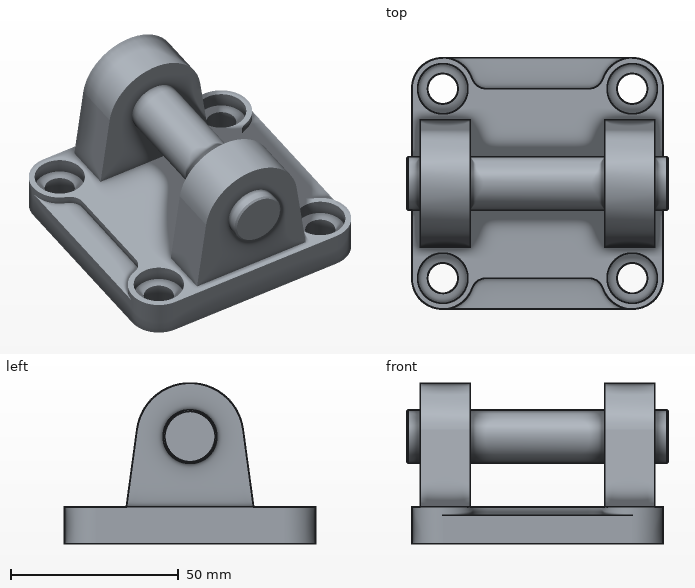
import cadquery as cq
import math

plate_size = 75.0
plate_height = 11.0
hole_spacing = 56.5
hole_diameter = 9.0
counterbore_diameter = 15.0
counterbore_depth = 4.5
half_plate = plate_size / 2
half_spacing = hole_spacing / 2
corner_radius = half_plate - half_spacing

relief_depth = 2.4
relief_fillet = 4.5

ear_gap = 40.0
ear_thickness = 15.0
ear_foot_width = 38.0
ear_top_radius = 16.0

pin_length = 78.0
pin_diameter = 16.0
pin_chamfer = 0.5
pin_height = 32.0


def make_plate():
    plate = cq.Workplane("XY").box(plate_size, plate_size, plate_height, centered=(True, True, False))
    plate = plate.edges("|Z").fillet(corner_radius)
    return (
        plate.faces(">Z")
        .workplane()
        .rect(hole_spacing, hole_spacing, forConstruction=True)
        .vertices()
        .cboreHole(hole_diameter, counterbore_diameter, counterbore_depth)
    )


def make_relief():
    """Cutter for the +Y edge: wraps each round corner boss, then blends into a straight inner wall."""
    center_distance = corner_radius + relief_fillet
    blend_run = math.sqrt(center_distance**2 - relief_fillet**2)
    boss_share = corner_radius / center_distance
    touch_x = half_spacing - blend_run * boss_share
    touch_y = half_spacing + relief_fillet * boss_share
    wall_end_x = half_spacing - blend_run

    mid_angle = (math.pi / 2 + math.atan2(relief_fillet, blend_run)) / 2
    boss_mid_x = half_spacing - corner_radius * math.cos(mid_angle)
    boss_mid_y = half_spacing + corner_radius * math.sin(mid_angle)

    blend_mid_x = wall_end_x + relief_fillet * math.cos(mid_angle)
    blend_mid_y = half_spacing + relief_fillet * (1 - math.sin(mid_angle))

    return (
        cq.Workplane("XY", origin=(0, 0, plate_height - relief_depth))
        .moveTo(-half_spacing, half_plate)
        .threePointArc((-boss_mid_x, boss_mid_y), (-touch_x, touch_y))
        .threePointArc((-blend_mid_x, blend_mid_y), (-wall_end_x, half_spacing))
        .lineTo(wall_end_x, half_spacing)
        .threePointArc((blend_mid_x, blend_mid_y), (touch_x, touch_y))
        .threePointArc((boss_mid_x, boss_mid_y), (half_spacing, half_plate))
        .close()
        .extrude(relief_depth)
    )


def make_ear(start_x):
    """Tapered ear whose sloping sides run tangent into a round top centred on the pin."""
    half_foot = ear_foot_width / 2
    rise = pin_height - plate_height
    foot_distance = math.hypot(half_foot, rise)
    tangent_angle = math.acos(ear_top_radius / foot_distance) - math.atan2(rise, half_foot)
    tangent_y = ear_top_radius * math.cos(tangent_angle)
    tangent_z = pin_height + ear_top_radius * math.sin(tangent_angle)

    return (
        cq.Workplane("YZ", origin=(start_x, 0, 0))
        .moveTo(-half_foot, plate_height)
        .lineTo(half_foot, plate_height)
        .lineTo(tangent_y, tangent_z)
        .threePointArc((0, pin_height + ear_top_radius), (-tangent_y, tangent_z))
        .close()
        .extrude(ear_thickness)
    )


def make_pin():
    pin = cq.Workplane("YZ", origin=(-pin_length / 2, 0, pin_height))
    return pin.circle(pin_diameter / 2).extrude(pin_length).faces("<X or >X").chamfer(pin_chamfer)


relief = make_relief()
result = make_plate().cut(relief).cut(relief.mirror("XZ"))
for ear_start in (-ear_gap / 2 - ear_thickness, ear_gap / 2):
    result = result.union(make_ear(ear_start))
result = result.union(make_pin())